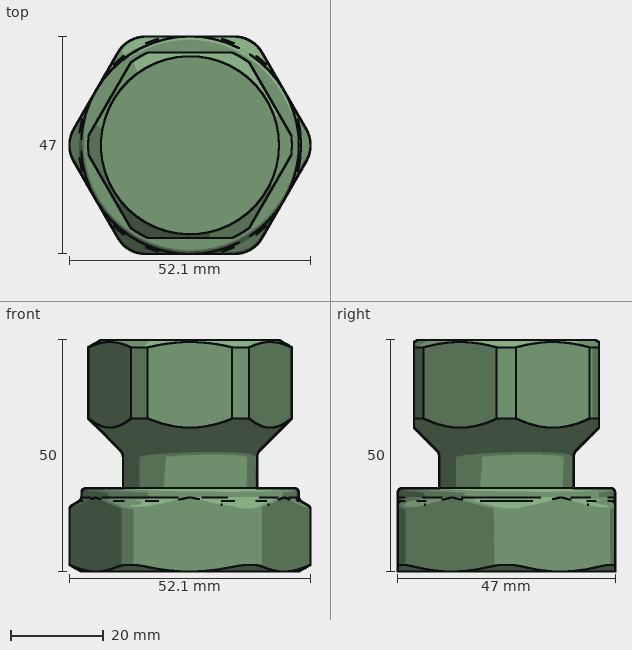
import cadquery as cq
import math

total_height = 50.0
chamfer_angle = math.radians(30)
chamfer_slope = math.tan(chamfer_angle)
cone_angle = math.radians(45)
hex_corner_ratio = 1 / math.cos(math.pi / 6)

nut_flats = 47.0
nut_length = 52.1
nut_height = 18.0
collar_radius = nut_flats / 2
shoulder_height = 15.45
edge_radius = 1.0

recess_radius = 18.1
recess_mouth_radius = 19.5
recess_depth = 2.5

neck_radius = 14.55
neck_fillet = 2.0
cap_flats = 40.0
cap_radius = 22.0
cap_top_radius = 19.2
cap_side_bottom = 33.0


def hex_prism(flats, height):
    """Hexagonal prism standing on XY, with two flats facing -Y and +Y."""
    return cq.Workplane("XY").polygon(6, flats * hex_corner_ratio).extrude(height)


def revolve_outline(outline):
    """Turn a closed outline of radius and height around the Z axis."""
    return outline.close().revolve(360, (0, 0, 0), (0, 1, 0))


def make_nut():
    full_corner = collar_radius * hex_corner_ratio
    corner_rounding = (full_corner - nut_length / 2) / (hex_corner_ratio - 1)
    prism = hex_prism(nut_flats, nut_height).edges("|Z").fillet(corner_rounding)

    outer = full_corner + edge_radius
    overhang = (outer - collar_radius) * chamfer_slope

    cove_turn = math.pi / 2 - chamfer_angle
    cove_setback = edge_radius * math.tan(cove_turn / 2)
    cove_center = (collar_radius + edge_radius, shoulder_height + cove_setback)
    cove_mid_angle = math.pi + cove_turn / 2
    cove_mid = (
        cove_center[0] + edge_radius * math.cos(cove_mid_angle),
        cove_center[1] + edge_radius * math.sin(cove_mid_angle),
    )
    cove_end = (
        collar_radius + cove_setback * math.cos(chamfer_angle),
        shoulder_height - cove_setback * math.sin(chamfer_angle),
    )

    diagonal = edge_radius * math.sqrt(0.5)
    outline = (
        cq.Workplane("XZ")
        .moveTo(0, 0)
        .lineTo(collar_radius, 0)
        .lineTo(outer, overhang)
        .lineTo(outer, shoulder_height - overhang)
        .lineTo(*cove_end)
        .threePointArc(cove_mid, (collar_radius, cove_center[1]))
        .lineTo(collar_radius, nut_height - edge_radius)
        .threePointArc(
            (collar_radius - edge_radius + diagonal, nut_height - edge_radius + diagonal),
            (collar_radius - edge_radius, nut_height),
        )
        .lineTo(0, nut_height)
    )
    return prism.intersect(revolve_outline(outline))


def round_shoulder(nut):
    """Round the edges where the shoulder and cove meet the sides of the nut."""
    upper_half = cq.selectors.BoxSelector(
        (-nut_length, -nut_length, nut_height / 2),
        (nut_length, nut_length, nut_height),
    )
    non_circular = cq.selectors.StringSyntaxSelector("not (%CIRCLE or %LINE)")
    return nut.edges(non_circular & upper_half).fillet(edge_radius)


def make_recess():
    mouth_depth = (recess_mouth_radius - recess_radius) * chamfer_slope
    floor = nut_height - recess_depth
    outline = (
        cq.Workplane("XZ")
        .moveTo(0, floor)
        .lineTo(recess_radius, floor)
        .lineTo(recess_radius, nut_height - mouth_depth)
        .lineTo(recess_mouth_radius, nut_height)
        .lineTo(0, nut_height)
    )
    return revolve_outline(outline)


def make_neck_and_cap():
    floor = nut_height - recess_depth
    diagonal = neck_fillet * (1 - math.sqrt(0.5))

    cone_bottom = cap_side_bottom - (cap_radius - neck_radius) * math.tan(cone_angle)
    flare_setback = neck_fillet * math.tan(cone_angle / 2)
    flare_end = (
        neck_radius + flare_setback * math.cos(cone_angle),
        cone_bottom + flare_setback * math.sin(cone_angle),
    )
    flare_mid_angle = math.pi - cone_angle / 2
    flare_mid = (
        neck_radius + neck_fillet + neck_fillet * math.cos(flare_mid_angle),
        cone_bottom - flare_setback + neck_fillet * math.sin(flare_mid_angle),
    )

    side_top = total_height - (cap_radius - cap_top_radius) * chamfer_slope
    outline = (
        cq.Workplane("XZ")
        .moveTo(0, floor)
        .lineTo(neck_radius + neck_fillet, floor)
        .threePointArc((neck_radius + diagonal, floor + diagonal), (neck_radius, floor + neck_fillet))
        .lineTo(neck_radius, cone_bottom - flare_setback)
        .threePointArc(flare_mid, flare_end)
        .lineTo(cap_radius, cap_side_bottom)
        .lineTo(cap_radius, side_top)
        .lineTo(cap_top_radius, total_height)
        .lineTo(0, total_height)
    )
    return revolve_outline(outline).intersect(hex_prism(cap_flats, total_height))


nut = round_shoulder(make_nut())
result = nut.cut(make_recess()).union(make_neck_and_cap())